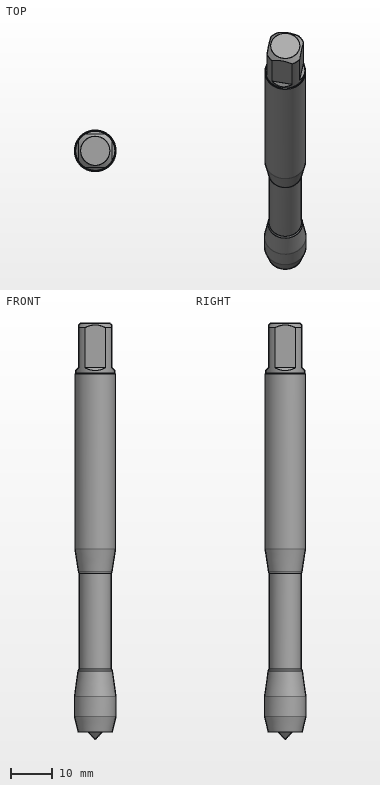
import cadquery as cq

TIP_BASE_Z = 1.8
LEAD_TOP_Z = 5.6
THREAD_TOP_Z = 10.6
HEAD_CONE_TOP_Z = 16.8
HEAD_TOP_Z = 17.3
NECK_TOP_Z = 40.6
SHANK_CONE_BOTTOM_Z = 41.0
SHANK_BOTTOM_Z = 46.6
SHANK_TOP_Z = 89.2
OVERALL_LENGTH = 101.6

TIP_DIAMETER = 3.5
LEAD_END_DIAMETER = 8.3
THREAD_DIAMETER = 10.2
HEAD_CONE_TOP_DIAMETER = 8.4
NECK_DIAMETER = 7.9
SHANK_CONE_END_DIAMETER = 8.2
SHANK_DIAMETER = 10.0
DRIVE_DIAMETER = 9.6
DRIVE_TOP_DIAMETER = 7.1

SQUARE_WIDTH = 8.1
FLAT_BOTTOM_Z = 90.8
SHANK_CHAMFER = (SHANK_DIAMETER - DRIVE_DIAMETER) / 2
TOP_BEVEL_HEIGHT = 1.1


def revolve_profile(sections):
    """Revolve (diameter, height) sections, listed upwards, about the Z axis."""
    bottom_z = sections[0][1]
    top_z = sections[-1][1]
    outline = [(0, bottom_z)]
    outline += [(diameter / 2, z) for diameter, z in sections if diameter > 0]
    outline.append((0, top_z))
    return cq.Workplane("XZ").polyline(outline).close().revolve(360, (0, 0), (0, 1))


def make_flat_cutter():
    """Wedge-ended cutter for the +X drive flat, with a floor falling outwards at 45 degrees."""
    flat_x = SQUARE_WIDTH / 2
    outer_x = SHANK_DIAMETER
    outline = [
        (flat_x, FLAT_BOTTOM_Z),
        (flat_x, OVERALL_LENGTH),
        (outer_x, OVERALL_LENGTH),
        (outer_x, FLAT_BOTTOM_Z - (outer_x - flat_x)),
    ]
    cutter = cq.Workplane("XZ").polyline(outline).close()
    return cutter.extrude(SHANK_DIAMETER, both=True)


def make_shank():
    """Neck, tapered shoulder, plain shank and square drive."""
    shank = revolve_profile([
        (NECK_DIAMETER, HEAD_TOP_Z),
        (NECK_DIAMETER, NECK_TOP_Z),
        (SHANK_CONE_END_DIAMETER, SHANK_CONE_BOTTOM_Z),
        (SHANK_DIAMETER, SHANK_BOTTOM_Z),
        (SHANK_DIAMETER, SHANK_TOP_Z),
        (DRIVE_DIAMETER, SHANK_TOP_Z + SHANK_CHAMFER),
        (DRIVE_DIAMETER, OVERALL_LENGTH - TOP_BEVEL_HEIGHT),
        (DRIVE_TOP_DIAMETER, OVERALL_LENGTH),
    ])
    cutter = make_flat_cutter()
    for angle in (0, 90, 180, 270):
        shank = shank.cut(cutter.rotate((0, 0, 0), (0, 0, 1), angle))
    return shank


def make_head():
    """Thread-forming head with its tapered lead and centre point."""
    return revolve_profile([
        (0, 0),
        (TIP_DIAMETER, TIP_BASE_Z),
        (LEAD_END_DIAMETER, TIP_BASE_Z),
        (THREAD_DIAMETER, LEAD_TOP_Z),
        (THREAD_DIAMETER, THREAD_TOP_Z),
        (HEAD_CONE_TOP_DIAMETER, HEAD_CONE_TOP_Z),
        (NECK_DIAMETER, HEAD_TOP_Z),
    ])


shank = make_shank()
head = make_head()
result = cq.Compound.makeCompound([shank.val(), head.val()])